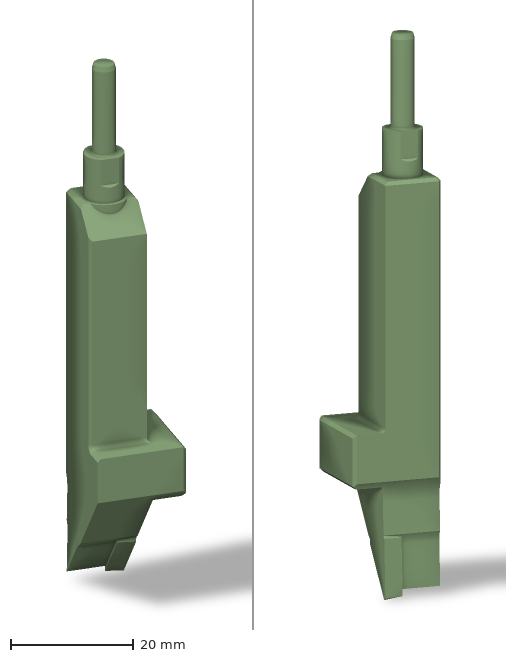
import cadquery as cq
import math

shank_width = 12.0
shank_depth = 9.9
shank_top = 70.0
corner_cut = 4.7
edge_chamfer = 0.6
inner_fillet = 0.75

foot_width = 16.0
foot_depth = 15.5
foot_top = 28.0
rear_bar_bottom = 18.8
left_face_bottom = 19.9

nipple_x = 5.0
nipple_y = 5.0
boss_diameter = 8.1
collar_diameter = 6.75
collar_top = 77.8
across_flats = 6.0
flat_bottom = 72.8
tube_diameter = 3.9
tube_top = 93.75
tube_tip_diameter = 3.5
tube_tip_length = 0.8
tube_foot_fillet = 0.4

insert_inscribed_diameter = 6.4
insert_thickness = 3.2
insert_nose_angle = 35.0
insert_clearance_angle = 7.0
insert_nose_radius = 0.41
left_edge_angle = 3.0

neck_inset = 0.3
relief_inset = 0.75
left_step_height = 10.7
right_step_height = 9.4
step_length = 1.5
neck_top = 16.5

right_edge_angle = left_edge_angle + insert_nose_angle
axis_angle = left_edge_angle + insert_nose_angle / 2
half_nose = math.radians(insert_nose_angle / 2)
nose_centre_distance = insert_nose_radius / math.sin(half_nose)
insert_side = insert_inscribed_diameter / math.sin(2 * half_nose)


def direction(angle):
    """Unit vector (x, z) tilted from +Z toward +X by an angle in degrees."""
    return math.sin(math.radians(angle)), math.cos(math.radians(angle))


def along(start, angle, distance):
    """Point reached from start by moving a distance along a tilted direction."""
    dx, dz = direction(angle)
    return start[0] + distance * dx, start[1] + distance * dz


sharp_corner = along((insert_nose_radius, insert_nose_radius), axis_angle, -nose_centre_distance)


def flank_origin(inset):
    """Corner where the left and right flanks with the given inset would meet."""
    return along(sharp_corner, axis_angle, inset / math.sin(half_nose))


def flank_at_z(inset, angle, z):
    """Point at height z on the flank with the given inset and tilt."""
    x0, z0 = flank_origin(inset)
    return x0 + (z - z0) * math.tan(math.radians(angle)), z


def flank_at_x(inset, angle, x):
    """Point at position x on the flank with the given inset and tilt."""
    x0, z0 = flank_origin(inset)
    return x, z0 + (x - x0) / math.tan(math.radians(angle))


def make_outline(back_y):
    """Closed outline of the holder on the XZ plane at the given y."""
    return (
        cq.Workplane("XZ", origin=(0, back_y, 0))
        .moveTo(*flank_origin(relief_inset))
        .lineTo(*flank_at_z(relief_inset, left_edge_angle, left_step_height - step_length))
        .tangentArcPoint(flank_at_z(neck_inset, left_edge_angle, left_step_height), relative=False)
        .lineTo(*flank_at_z(neck_inset, left_edge_angle, neck_top))
        .tangentArcPoint((0, left_face_bottom), relative=False)
        .lineTo(0, shank_top)
        .lineTo(shank_width - corner_cut, shank_top)
        .lineTo(shank_width, shank_top - corner_cut)
        .lineTo(shank_width, foot_top)
        .lineTo(foot_width, foot_top)
        .lineTo(*flank_at_x(neck_inset, right_edge_angle, foot_width))
        .lineTo(*flank_at_z(neck_inset, right_edge_angle, right_step_height))
        .lineTo(*flank_at_z(relief_inset, right_edge_angle, right_step_height - step_length))
        .close()
    )


def make_rear_bar():
    """Bar behind the shank, with a chamfer around its rear face."""
    bar_depth = foot_depth - shank_depth
    limits = cq.Workplane("XY").box(foot_width, bar_depth, foot_top - rear_bar_bottom, centered=False)
    limits = limits.translate((0, shank_depth, rear_bar_bottom))
    limits = limits.faces(">Y").edges().chamfer(edge_chamfer)
    return make_outline(foot_depth).extrude(bar_depth).intersect(limits)


def make_nipple():
    """Boss, collar with two wrench flats, and tube with a tapered tip."""
    boss_height = corner_cut
    boss = cq.Workplane("XY").circle(boss_diameter / 2).extrude(boss_height)
    boss = boss.translate((0, 0, shank_top - boss_height))

    collar_height = collar_top - shank_top
    collar = cq.Workplane("XY", origin=(0, 0, shank_top)).circle(collar_diameter / 2).extrude(collar_height)
    flat_depth = (collar_diameter - across_flats) / 2
    for side in (-1, 1):
        flat = (
            cq.Workplane("XZ")
            .moveTo(side * collar_diameter / 2, flat_bottom)
            .lineTo(side * across_flats / 2, flat_bottom + flat_depth)
            .lineTo(side * across_flats / 2, collar_top)
            .lineTo(side * collar_diameter / 2, collar_top)
            .close()
            .extrude(collar_diameter / 2, both=True)
        )
        collar = collar.cut(flat)

    tube_radius = tube_diameter / 2
    foot_radius = tube_radius + tube_foot_fillet
    fillet_middle = tube_foot_fillet * (1 - math.sqrt(0.5))
    tube = (
        cq.Workplane("XZ")
        .moveTo(0, shank_top)
        .lineTo(foot_radius, shank_top)
        .lineTo(foot_radius, collar_top)
        .threePointArc(
            (tube_radius + fillet_middle, collar_top + fillet_middle),
            (tube_radius, collar_top + tube_foot_fillet),
        )
        .lineTo(tube_radius, tube_top - tube_tip_length)
        .lineTo(tube_tip_diameter / 2, tube_top)
        .lineTo(0, tube_top)
        .close()
        .revolve(360, (0, 0, 0), (0, 1, 0))
    )
    return boss.union(collar).union(tube).translate((nipple_x, nipple_y, 0))


def make_insert():
    """Cutting insert with its rake face flush with the back of the shank."""
    left_corner = along(sharp_corner, left_edge_angle, insert_side)
    right_corner = along(sharp_corner, right_edge_angle, insert_side)
    far_corner = along(left_corner, right_edge_angle, insert_side)
    tangent_length = insert_nose_radius / math.tan(half_nose)
    nose_gap = nose_centre_distance - insert_nose_radius
    return (
        cq.Workplane("XZ", origin=(0, shank_depth, 0))
        .moveTo(*along(sharp_corner, left_edge_angle, tangent_length))
        .lineTo(*left_corner)
        .lineTo(*along(far_corner, right_edge_angle, -tangent_length))
        .threePointArc(
            along(far_corner, axis_angle, -nose_gap),
            along(far_corner, left_edge_angle, -tangent_length),
        )
        .lineTo(*right_corner)
        .lineTo(*along(sharp_corner, right_edge_angle, tangent_length))
        .threePointArc(
            along(sharp_corner, axis_angle, nose_gap),
            along(sharp_corner, left_edge_angle, tangent_length),
        )
        .close()
        .extrude(insert_thickness, taper=insert_clearance_angle)
    )


def make_holder(insert):
    """Shank, foot and nipple in one piece, with a pocket that fits the insert."""
    body = make_outline(shank_depth).extrude(shank_depth).union(make_rear_bar())

    side_corner = (shank_width, shank_depth / 2, foot_top)
    rear_corner = (shank_width / 2, shank_depth, foot_top)
    for corner in (side_corner, rear_corner):
        body = body.edges(cq.NearestToPointSelector(corner)).fillet(inner_fillet)

    right_wall_middle = (foot_top + shank_top - corner_cut) / 2
    left_wall_middle = (left_face_bottom + shank_top) / 2
    for point in ((shank_width, 0, right_wall_middle), (0, 0, left_wall_middle)):
        body = body.edges(cq.NearestToPointSelector(point)).chamfer(edge_chamfer)

    body = body.faces(">Z").edges("not >X").chamfer(edge_chamfer)
    return body.union(make_nipple()).cut(insert)


insert = make_insert()
holder = make_holder(insert)
result = cq.Compound.makeCompound([holder.val(), insert.val()])